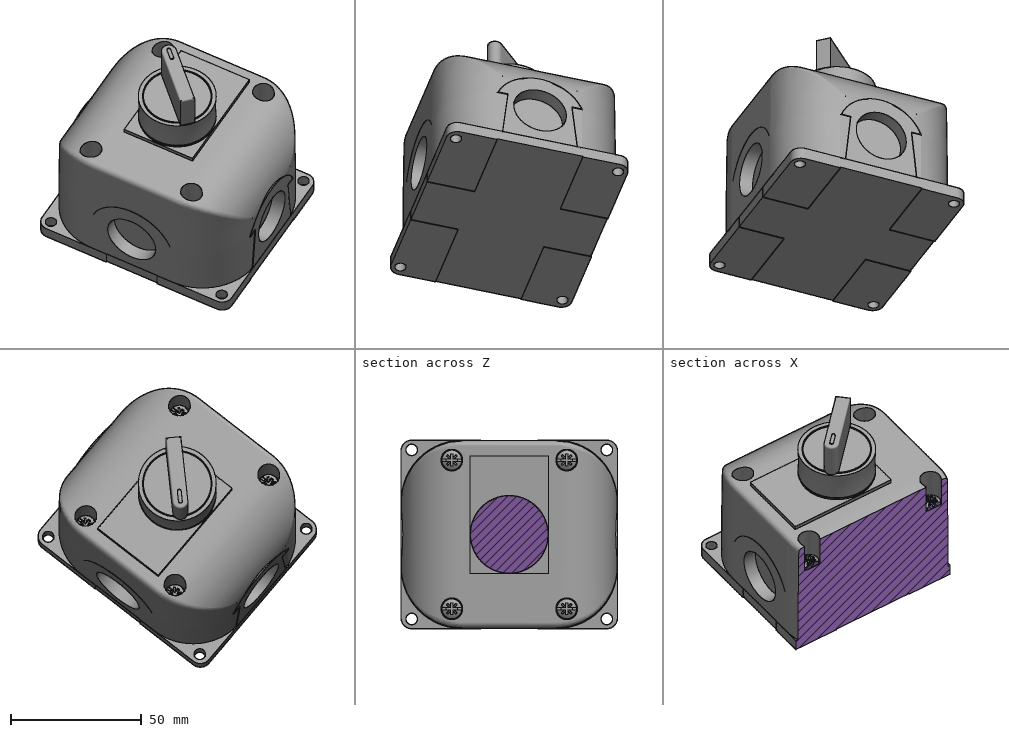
import cadquery as cq
import math

LENGTH = 83.0
WIDTH = 72.3
HALF_WIDTH = WIDTH / 2

FLANGE_TOP = 4.8
SEAM = 25.2
ENCLOSURE_TOP = 53.3
PLATE_TOP = 54.9
COLLAR_SEAT_TOP = 55.9
COLLAR_TOP = 67.8
HANDLE_TOP = 81.9
MARK_TOP = 82.4

FLANGE_CORNER_RADIUS = 4.2
MOUNTING_HOLE_X = 37.35
MOUNTING_HOLE_Y = 32.4
MOUNTING_HOLE_DIAMETER = 4.3
RELIEF_DEPTH = 0.3
RELIEF_WIDTH_X = 22.1
RELIEF_WIDTH_Y = 34.2
EDGE_STEP_DEPTH = 0.2

BODY_INSET = 0.1
BODY_LENGTH = LENGTH - 2 * BODY_INSET
BODY_WIDTH = WIDTH - 2 * BODY_INSET
LOWER_LENGTH = 82.0
CORNER_RADIUS = 23.4
WALL_DRAFT = 0.7
SHOULDER_RADIUS = 22.2
TOP_EDGE_FILLET = 2.0
CREASE_RUNOUT = 2.2

ENTRY_HEIGHT = 19.9
ENTRY_DIAMETER = 21.0
ENTRY_DEPTH = 5.4
LOBE_RADIUS = 18.1
LOBE_TOP = 36.4
LOBE_CENTRE = LOBE_TOP - LOBE_RADIUS
SIDE_PAD_TOP_WIDTH = 25.6
SIDE_PAD_FOOT_WIDTH = 29.9

SCREW_X = 22.0
SCREW_Y = 28.5
BORE_DIAMETER = 8.3
BORE_FLOOR = 39.8
SCREW_HEAD_DIAMETER = 7.6
SCREW_RIM_HEIGHT = 1.3
SCREW_HEAD_HEIGHT = 2.8
SLOT_WIDTH = 1.0
SLOT_DEPTH = 1.5
CROSS_LENGTH = 4.5
CROSS_DEPTH = 2.15
STAR_LENGTH = 5.15
STAR_WIDTH = 0.7
STAR_DEPTH = 1.5

PLATE_WIDTH = 29.9
PLATE_BACK = 30.0
PLATE_FRONT = -PLATE_WIDTH / 2

COLLAR_RADIUS = 14.9
COLLAR_WAIST_RADIUS = 14.7
COLLAR_SEAT_RADIUS = 14.6
DIAL_GROOVE_OUTER = 13.3
DIAL_GROOVE_INNER = 12.95
DIAL_GROOVE_DEPTH = 0.3

HANDLE_HALF_LENGTH = 14.45
HANDLE_WIDTH = 5.8
HANDLE_TOP_FILLET = 0.7
HANDLE_ANGLE = -45.0
MARK_START = 6.8
MARK_END = 12.3
MARK_WIDTH = 1.5


def block(x_size, y_size, bottom, top):
    """Box centred on the Z axis between two heights."""
    return cq.Workplane("XY").workplane(offset=bottom).rect(x_size, y_size).extrude(top - bottom)


def mirrored_points(x, y):
    return [(sx * x, sy * y) for sx in (-1, 1) for sy in (-1, 1)]


def make_flange():
    flange = block(LENGTH, WIDTH, 0, FLANGE_TOP).edges("|Z").fillet(FLANGE_CORNER_RADIUS)
    holes = (
        cq.Workplane("XY")
        .pushPoints(mirrored_points(MOUNTING_HOLE_X, MOUNTING_HOLE_Y))
        .circle(MOUNTING_HOLE_DIAMETER / 2)
        .extrude(FLANGE_TOP)
    )
    flange = flange.cut(holes)
    flange = flange.cut(block(RELIEF_WIDTH_X, WIDTH, 0, RELIEF_DEPTH))
    flange = flange.cut(block(LENGTH, RELIEF_WIDTH_Y, 0, RELIEF_DEPTH))
    for side in (-1, 1):
        step = block(RELIEF_WIDTH_X, 2 * EDGE_STEP_DEPTH, 0, FLANGE_TOP)
        flange = flange.cut(step.translate((0, side * HALF_WIDTH, 0)))
    return flange


def make_lower_walls():
    """Upright walls whose side faces are flattened, leaving room for the raised side pads."""
    walls = block(BODY_LENGTH, BODY_WIDTH, FLANGE_TOP, SEAM).edges("|Z").fillet(CORNER_RADIUS)
    return walls.intersect(block(LOWER_LENGTH, BODY_WIDTH, FLANGE_TOP, SEAM))


def make_upper_walls():
    """Leaning walls cut to the rounded-shoulder profile."""
    plan = cq.Sketch().rect(BODY_LENGTH, BODY_WIDTH).vertices().fillet(CORNER_RADIUS)
    walls = (
        cq.Workplane("XY")
        .workplane(offset=SEAM)
        .placeSketch(plan)
        .extrude(ENCLOSURE_TOP - SEAM, taper=WALL_DRAFT)
    )
    profile = (
        cq.Workplane("XZ")
        .rect(BODY_LENGTH, 2 * ENCLOSURE_TOP)
        .extrude(HALF_WIDTH, both=True)
        .edges("|Y and >Z")
        .fillet(SHOULDER_RADIUS)
    )
    return walls.intersect(profile)


def round_top_edges(walls):
    """Fillet the front and back creases up to where they run out into the side walls."""
    crease_end = BODY_WIDTH / 2 - CORNER_RADIUS + CREASE_RUNOUT
    rounded = walls.intersect(block(BODY_LENGTH, 2 * crease_end, SEAM, ENCLOSURE_TOP))
    for side, outer_edge in ((-1, "<Y"), (1, ">Y")):
        slab = block(BODY_LENGTH, BODY_WIDTH, SEAM, ENCLOSURE_TOP)
        slab = slab.translate((0, side * (crease_end + BODY_WIDTH / 2), 0))
        end_wall = walls.intersect(slab).faces(">Z").edges(outer_edge).fillet(TOP_EDGE_FILLET)
        rounded = rounded.union(end_wall)
    return rounded


def make_lobe(plane, length):
    """Round cap standing on the seam, running through the enclosure between two opposite entries."""
    half_chord = math.sqrt(LOBE_RADIUS**2 - (SEAM - LOBE_CENTRE) ** 2)
    return (
        cq.Workplane(plane)
        .moveTo(-half_chord, SEAM)
        .threePointArc((0, LOBE_TOP), (half_chord, SEAM))
        .close()
        .extrude(length / 2, both=True)
    )


def make_side_pads():
    """Raised pads below the side lobes, flush with them and widening towards the flange."""
    half_top = SIDE_PAD_TOP_WIDTH / 2
    half_foot = SIDE_PAD_FOOT_WIDTH / 2
    return (
        cq.Workplane("YZ")
        .polyline(
            [(-half_foot, FLANGE_TOP), (half_foot, FLANGE_TOP), (half_top, SEAM), (-half_top, SEAM)]
        )
        .close()
        .extrude(BODY_LENGTH / 2, both=True)
    )


def cut_entries(housing):
    for plane, half_size in (("XZ", BODY_WIDTH / 2), ("YZ", BODY_LENGTH / 2)):
        for side in (-1, 1):
            entry = (
                cq.Workplane(plane)
                .workplane(offset=side * half_size)
                .center(0, ENTRY_HEIGHT)
                .circle(ENTRY_DIAMETER / 2)
                .extrude(-side * ENTRY_DEPTH)
            )
            housing = housing.cut(entry)
    return housing


def cut_screw_bores(housing):
    bores = (
        cq.Workplane("XY")
        .workplane(offset=BORE_FLOOR)
        .pushPoints(mirrored_points(SCREW_X, SCREW_Y))
        .circle(BORE_DIAMETER / 2)
        .extrude(ENCLOSURE_TOP - BORE_FLOOR)
    )
    return housing.cut(bores)


def make_plate():
    plate = block(PLATE_WIDTH, PLATE_BACK - PLATE_FRONT, ENCLOSURE_TOP, PLATE_TOP)
    return plate.translate((0, (PLATE_BACK + PLATE_FRONT) / 2, 0))


def make_collar():
    """Waisted collar on a narrower seat, with a fine ring groove around the dial on top."""
    waist_height = (COLLAR_SEAT_TOP + COLLAR_TOP) / 2
    groove_floor = COLLAR_TOP - DIAL_GROOVE_DEPTH
    collar = (
        cq.Workplane("XZ")
        .moveTo(0, PLATE_TOP)
        .lineTo(COLLAR_SEAT_RADIUS, PLATE_TOP)
        .lineTo(COLLAR_SEAT_RADIUS, COLLAR_SEAT_TOP)
        .lineTo(COLLAR_RADIUS, COLLAR_SEAT_TOP)
        .threePointArc((COLLAR_WAIST_RADIUS, waist_height), (COLLAR_RADIUS, COLLAR_TOP))
        .lineTo(0, COLLAR_TOP)
        .close()
        .revolve(360, (0, 0, 0), (0, 1, 0))
    )
    groove = (
        cq.Workplane("XY")
        .workplane(offset=groove_floor)
        .circle(DIAL_GROOVE_OUTER)
        .circle(DIAL_GROOVE_INNER)
        .extrude(DIAL_GROOVE_DEPTH)
    )
    return collar.cut(groove)


def make_handle():
    """Grip bar with one round end and a domed raised mark near that end."""
    half_width = HANDLE_WIDTH / 2
    round_centre = -(HANDLE_HALF_LENGTH - half_width)
    grip = (
        cq.Workplane("XY")
        .workplane(offset=COLLAR_TOP)
        .moveTo(round_centre, half_width)
        .threePointArc((-HANDLE_HALF_LENGTH, 0), (round_centre, -half_width))
        .lineTo(HANDLE_HALF_LENGTH, -half_width)
        .lineTo(HANDLE_HALF_LENGTH, half_width)
        .close()
        .extrude(HANDLE_TOP - COLLAR_TOP)
    )
    grip = grip.faces(">Z").edges().fillet(HANDLE_TOP_FILLET)
    ridge = (
        cq.Workplane("YZ")
        .workplane(offset=-MARK_END)
        .moveTo(-MARK_WIDTH / 2, HANDLE_TOP)
        .threePointArc((0, MARK_TOP), (MARK_WIDTH / 2, HANDLE_TOP))
        .close()
        .extrude(MARK_END - MARK_START)
    )
    outline = (
        cq.Workplane("XY")
        .workplane(offset=HANDLE_TOP)
        .center(-(MARK_START + MARK_END) / 2, 0)
        .slot2D(MARK_END - MARK_START, MARK_WIDTH)
        .extrude(MARK_TOP - HANDLE_TOP)
    )
    mark = ridge.intersect(outline)
    return grip.union(mark).rotate((0, 0, 0), (0, 0, 1), HANDLE_ANGLE)


def make_housing():
    housing = round_top_edges(make_upper_walls()).union(make_lower_walls())
    housing = housing.union(make_lobe("XZ", BODY_WIDTH))
    housing = housing.union(make_lobe("YZ", BODY_LENGTH))
    housing = housing.union(make_side_pads())
    housing = cut_screw_bores(cut_entries(housing))
    for feature in (make_flange(), make_plate(), make_collar(), make_handle()):
        housing = housing.union(feature)
    return housing


def make_cover_screw(x, y):
    """Domed screw head with a slot, cross recess and diagonal grooves, resting on its bore floor."""
    radius = SCREW_HEAD_DIAMETER / 2
    dome_rise = SCREW_HEAD_HEIGHT - SCREW_RIM_HEIGHT
    dome_radius = (radius**2 + dome_rise**2) / (2 * dome_rise)
    half_angle = math.asin(radius / dome_radius) / 2
    dome_middle = (
        dome_radius * math.sin(half_angle),
        SCREW_HEAD_HEIGHT - dome_radius * (1 - math.cos(half_angle)),
    )
    screw = (
        cq.Workplane("XZ")
        .lineTo(radius, 0)
        .lineTo(radius, SCREW_RIM_HEIGHT)
        .threePointArc(dome_middle, (0, SCREW_HEAD_HEIGHT))
        .close()
        .revolve(360, (0, 0, 0), (0, 1, 0))
    )
    slot_floor = SCREW_HEAD_HEIGHT - SLOT_DEPTH
    cross_floor = SCREW_HEAD_HEIGHT - CROSS_DEPTH
    screw = screw.cut(block(SCREW_HEAD_DIAMETER, SLOT_WIDTH, slot_floor, SCREW_HEAD_HEIGHT))
    screw = screw.cut(block(CROSS_LENGTH, SLOT_WIDTH, cross_floor, SCREW_HEAD_HEIGHT))
    screw = screw.cut(block(SLOT_WIDTH, CROSS_LENGTH, cross_floor, SCREW_HEAD_HEIGHT))
    star_floor = SCREW_HEAD_HEIGHT - STAR_DEPTH
    for angle in (45, 135):
        groove = block(STAR_LENGTH, STAR_WIDTH, star_floor, SCREW_HEAD_HEIGHT)
        screw = screw.cut(groove.rotate((0, 0, 0), (0, 0, 1), angle))
    return screw.translate((x, y, BORE_FLOOR))


housing = make_housing()
cover_screws = [make_cover_screw(x, y) for x, y in mirrored_points(SCREW_X, SCREW_Y)]

result = cq.Compound.makeCompound([housing.val(), *[screw.val() for screw in cover_screws]])